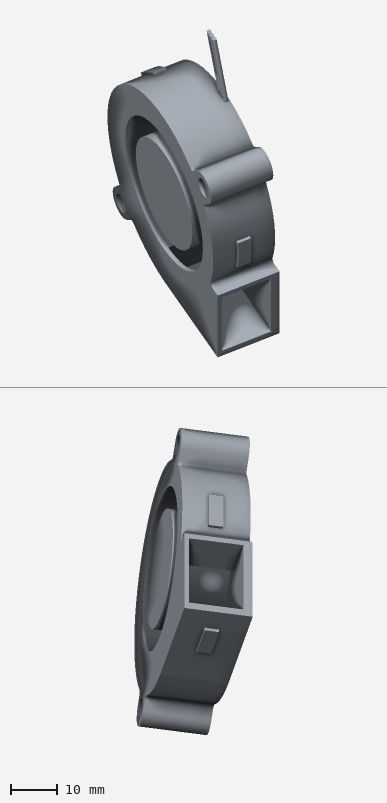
import cadquery as cq
import math

DEPTH = 15.0

RADIUS_RIGHT = 22.7
RADIUS_TOP = 24.3
RADIUS_LEFT = 26.2
RADIUS_SEAM = 25.0
SEAM_ANGLE = 128.5
RADIUS_BOTTOM = 28.3
OUTLET_X = 24.8
OUTLET_TOP_Z = -8.3
TONGUE_ANGLE = -20

FRONT_PLATE = 1.0
BACK_PLATE = 2.0
DUCT_FLOOR_WALL = 1.6
DUCT_CEILING_WALL = 1.2

CHAMBER_RADIUS = 17.95
HUB_RADIUS = 13.1

EAR_CENTRES = [(18.1, 19.9), (-20.0, -23.0)]
EAR_RADIUS = 3.8
EAR_HOLE_RADIUS = 2.27
CORNER_FILLET = 1.0

TAB_HEIGHT = 0.75
TAB_LENGTH = 8.05
TAB_WIDTH = 3.2
TAB_FRONT_Y = 5.75
BOTTOM_TAB_X = 14.75
UPPER_TAB_ANGLE = 135
UPPER_TAB_SHIFT = 1.2

WIRE_DIAMETER = 1.0
WIRE_PITCH = 1.15
WIRE_BASE_X = 0.3
WIRE_LEAN = 5.5
WIRE_TOP_Z = 67.7 - RADIUS_BOTTOM - TAB_HEIGHT
WIRE_BACK_GAP = 0.3
WIRE_ROOT_DEPTH = 0.7


def extrude_y(sketch, start, length):
    """Extrude an XZ sketch from Y = start towards +Y."""
    return sketch.extrude(-length).translate((0, start, 0))


def polar(radius, angle):
    turn = math.radians(angle)
    return (radius * math.cos(turn), radius * math.sin(turn))


def volute(offset):
    """Spiral with its outlet duct, its walls moved outwards by offset."""
    right = RADIUS_RIGHT + offset
    top = RADIUS_TOP + offset
    seam = RADIUS_SEAM + offset
    left = RADIUS_LEFT + offset
    bottom = RADIUS_BOTTOM + offset
    duct_top = OUTLET_TOP_Z + offset
    tongue_x = math.sqrt(right**2 - duct_top**2)
    sketch = (
        cq.Workplane("XZ")
        .moveTo(tongue_x, duct_top)
        .threePointArc(polar(right, TONGUE_ANGLE / 2), (right, 0))
        .threePointArc(polar((right + top) / 2, 45), (0, top))
        .threePointArc(polar((top + seam) / 2, (90 + SEAM_ANGLE) / 2), polar(seam, SEAM_ANGLE))
        .threePointArc(polar((seam + left) / 2, (SEAM_ANGLE + 180) / 2), (-left, 0))
        .threePointArc(polar((left + bottom) / 2, 225), (0, -bottom))
        .lineTo(OUTLET_X, -bottom)
        .lineTo(OUTLET_X, duct_top)
        .close()
    )
    return extrude_y(sketch, 0, DEPTH)


def disc(radius, start, length, centre=(0, 0)):
    return extrude_y(cq.Workplane("XZ").center(*centre).circle(radius), start, length)


def ear(centre):
    """Round lug whose neck runs at 45 degrees into the casing."""
    x, z = centre
    inward = -math.copysign(1, x)
    neck_length = 2 * EAR_RADIUS
    neck = (
        cq.Workplane("XY")
        .box(neck_length, DEPTH, 2 * EAR_RADIUS)
        .translate((neck_length / 2 * inward, DEPTH / 2, 0))
        .rotate((0, 0, 0), (0, 1, 0), -45)
        .translate((x, 0, z))
    )
    return disc(EAR_RADIUS, 0, DEPTH, centre).union(neck)


def tab_block(angle, along=0):
    """Block crossing the casing wall in the given direction from the axis."""
    inner = CHAMBER_RADIUS
    outer = RADIUS_BOTTOM + 2 * TAB_HEIGHT
    return (
        cq.Workplane("XY")
        .box(outer - inner, TAB_WIDTH, TAB_LENGTH)
        .translate(((outer + inner) / 2, TAB_FRONT_Y + TAB_WIDTH / 2, along))
        .rotate((0, 0, 0), (0, 1, 0), -angle)
    )


def wire(x_shift):
    """Leaning round lead with a level top, rooted in the casing wall."""
    rise = WIRE_TOP_Z - RADIUS_TOP
    slope = WIRE_LEAN / rise
    root_z = RADIUS_TOP - WIRE_ROOT_DEPTH
    root = cq.Vector(
        WIRE_BASE_X + x_shift + slope * WIRE_ROOT_DEPTH,
        DEPTH - WIRE_BACK_GAP - WIRE_DIAMETER / 2,
        root_z,
    )
    lead = cq.Solid.makeCylinder(WIRE_DIAMETER / 2, 2 * rise, root, cq.Vector(-slope, 0, 1))
    height = WIRE_TOP_Z - root_z
    keep = cq.Workplane("XY").box(RADIUS_LEFT, 2 * DEPTH, height)
    keep = keep.translate((0, DEPTH, root_z + height / 2))
    return keep.intersect(cq.Workplane(lead))


casing = volute(0)
for ear_centre in EAR_CENTRES:
    casing = casing.union(ear(ear_centre))


def is_concave(edge):
    """Corners where an ear or the outlet duct meets the spiral."""
    middle = edge.Center()
    reach = math.hypot(middle.x, middle.z)
    at_ear = any(
        EAR_RADIUS + 0.35 < math.hypot(middle.x - x, middle.z - z) < 3 * EAR_RADIUS
        for x, z in EAR_CENTRES
    )
    at_tongue = abs(middle.z - OUTLET_TOP_Z) < 0.1 and 0 < middle.x < OUTLET_X - 0.7
    return reach > RADIUS_RIGHT - 0.7 and (at_ear or at_tongue)


corners = [edge for edge in casing.edges("|Y").vals() if is_concave(edge)]
casing = casing.newObject(corners).fillet(CORNER_FILLET)

tabs = tab_block(0)
tabs = tabs.union(tab_block(UPPER_TAB_ANGLE, UPPER_TAB_SHIFT))
tabs = tabs.union(tab_block(270, BOTTOM_TAB_X))
casing = casing.union(tabs.intersect(volute(TAB_HEIGHT)))

casing = casing.cut(disc(CHAMBER_RADIUS, 0, DEPTH - BACK_PLATE))

duct_floor = -RADIUS_BOTTOM + DUCT_FLOOR_WALL
duct_ceiling = OUTLET_TOP_Z - DUCT_CEILING_WALL
duct = cq.Workplane("XZ").moveTo(0, duct_floor).lineTo(OUTLET_X, duct_floor)
duct = duct.lineTo(OUTLET_X, duct_ceiling).lineTo(0, duct_ceiling).close()
casing = casing.cut(extrude_y(duct, FRONT_PLATE, DEPTH - FRONT_PLATE - BACK_PLATE))

for ear_centre in EAR_CENTRES:
    casing = casing.cut(disc(EAR_HOLE_RADIUS, 0, DEPTH, ear_centre))

result = casing.union(disc(HUB_RADIUS, 0, DEPTH))

for step in (-1, 0, 1):
    result = result.union(wire(step * WIRE_PITCH))